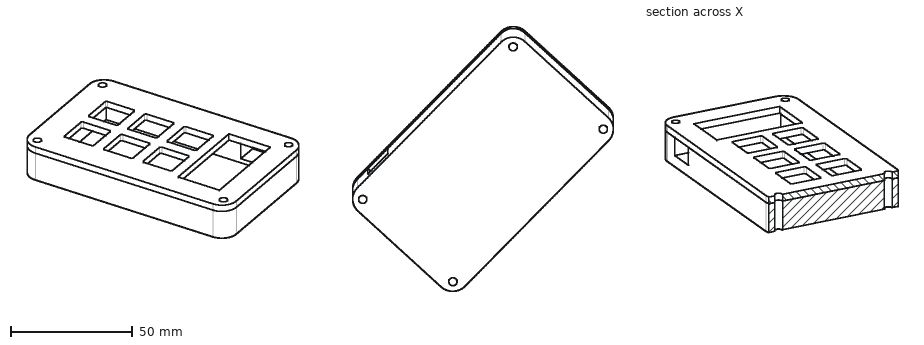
import cadquery as cq

LENGTH = 100.2
WIDTH = 61.3
HEIGHT = 16.0
CORNER_RADIUS = 7.0
LID_THICKNESS = 3.0
BASE_HEIGHT = HEIGHT - LID_THICKNESS

SCREW_DIAMETER = 3.4
SCREW_INSET = 5.0

KEY_COLUMNS = 3
KEY_ROWS = 2
KEY_PITCH = 19.0
KEY_SIZE = 14.1
KEY_CORNER_RADIUS = 0.7
KEYS_X = -11.1
KEYS_Y = -1.0

DISPLAY_X = 29.7
DISPLAY_LENGTH = 20.0
DISPLAY_WIDTH = 40.1

FLOOR_THICKNESS = 3.0
CAVITY_INSET = 9.4
CAVITY_LENGTH = LENGTH - 2 * CAVITY_INSET
CAVITY_WIDTH = WIDTH - 2 * CAVITY_INSET

SLOT_LENGTH = 12.0
SLOT_CORNER_OFFSET = 4.0
SLOT_SILL = 2.0
SLOT_FLOOR = FLOOR_THICKNESS + SLOT_SILL
SLOT_X = CAVITY_LENGTH / 2 - SLOT_CORNER_OFFSET - SLOT_LENGTH / 2
SLOT_Y = (WIDTH - CAVITY_INSET) / 2


def box_between(length, width, bottom, top, x=0.0, y=0.0):
    """Upright box centred on (x, y), from height bottom to height top."""
    return cq.Workplane("XY", origin=(x, y, bottom)).rect(length, width).extrude(top - bottom)


def rounded_slab(bottom, top):
    """Slab with the outer outline and a screw hole through each corner."""
    slab = box_between(LENGTH, WIDTH, bottom, top).edges("|Z").fillet(CORNER_RADIUS)
    return (
        slab.faces(">Z")
        .workplane(centerOption="CenterOfBoundBox")
        .rect(LENGTH - 2 * SCREW_INSET, WIDTH - 2 * SCREW_INSET, forConstruction=True)
        .vertices()
        .hole(SCREW_DIAMETER)
    )


def make_base():
    """Tray with one rectangular cavity and a cable slot in its +Y wall."""
    cavity = box_between(CAVITY_LENGTH, CAVITY_WIDTH, FLOOR_THICKNESS, BASE_HEIGHT)
    cable_slot = box_between(SLOT_LENGTH, CAVITY_INSET, SLOT_FLOOR, BASE_HEIGHT, SLOT_X, SLOT_Y)
    return rounded_slab(0.0, BASE_HEIGHT).cut(cavity).cut(cable_slot)


def make_lid():
    """Cover plate with a grid of key windows and a display opening."""
    lid = rounded_slab(BASE_HEIGHT, HEIGHT)
    for column in range(KEY_COLUMNS):
        for row in range(KEY_ROWS):
            x = KEYS_X + (column - (KEY_COLUMNS - 1) / 2) * KEY_PITCH
            y = KEYS_Y + (row - (KEY_ROWS - 1) / 2) * KEY_PITCH
            window = box_between(KEY_SIZE, KEY_SIZE, BASE_HEIGHT, HEIGHT, x, y)
            lid = lid.cut(window.edges("|Z").fillet(KEY_CORNER_RADIUS))
    return lid.cut(box_between(DISPLAY_LENGTH, DISPLAY_WIDTH, BASE_HEIGHT, HEIGHT, DISPLAY_X))


base = make_base()
lid = make_lid()

result = cq.Compound.makeCompound([*base.solids().vals(), *lid.solids().vals()])